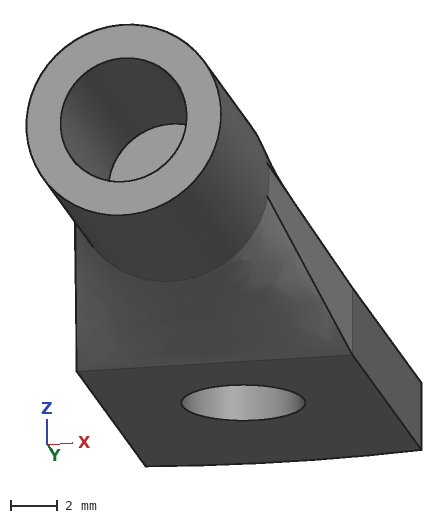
import cadquery as cq
import math

length = 33.93
height = 9.5

palm_width = 12.0
palm_thickness = 3.0
palm_length = 15.0
tip_sag = 0.55
hole_diameter = 5.3
hole_from_tip = 8.95

barrel_diameter = 8.48
bore_diameter = 5.5
barrel_length = 9.98
barrel_z = height - barrel_diameter / 2

side_angle = 10.0
neck_steps = 6
edge_steps = 12

palm_start = length - palm_length


def make_palm():
    half_width = palm_width / 2
    corner_y = length - tip_sag
    outline = (
        cq.Workplane("XY")
        .moveTo(-half_width, palm_start)
        .lineTo(half_width, palm_start)
        .lineTo(half_width, corner_y)
        .threePointArc((0, length), (-half_width, corner_y))
        .close()
    )
    hole = (
        cq.Workplane("XY")
        .center(0, length - hole_from_tip)
        .circle(hole_diameter / 2)
        .extrude(palm_thickness)
    )
    return outline.extrude(palm_thickness).cut(hole)


def barrel_point(angle):
    """Point on the inner end of the barrel, at an angle in degrees from +X towards +Z."""
    radians = math.radians(angle)
    radius = barrel_diameter / 2
    return cq.Vector(
        radius * math.cos(radians),
        barrel_length,
        barrel_z + radius * math.sin(radians),
    )


def neck_edge(t, palm_ends, arc_angles, scoop):
    """One side of the neck section at t, from the palm (t = 0) to the barrel (t = 1).

    Straight lines join the palm side to the barrel arc. The scoop lowers the middle
    of the side, so that it leaves the palm level and still meets the barrel.
    """
    palm_first, palm_last = palm_ends
    angle_first, angle_last = arc_angles
    if t == 0:
        return cq.Edge.makeLine(palm_first, palm_last)
    if t == 1:
        middle = barrel_point((angle_first + angle_last) / 2)
        return cq.Edge.makeThreePointArc(barrel_point(angle_first), middle, barrel_point(angle_last))
    points = []
    for i in range(edge_steps + 1):
        s = i / edge_steps
        on_palm = palm_first + (palm_last - palm_first) * s
        on_barrel = barrel_point(angle_first + (angle_last - angle_first) * s)
        drop = scoop * t * (1 - t) ** 2 * math.sin(math.pi * s)
        points.append(on_palm + (on_barrel - on_palm) * t - cq.Vector(0, 0, drop))
    return cq.Edge.makeSpline(points)


def neck_section(t):
    half_width = palm_width / 2
    bottom_right = cq.Vector(half_width, palm_start, 0)
    top_right = cq.Vector(half_width, palm_start, palm_thickness)
    top_left = cq.Vector(-half_width, palm_start, palm_thickness)
    bottom_left = cq.Vector(-half_width, palm_start, 0)
    top_scoop = height - palm_thickness
    return cq.Wire.assembleEdges(
        [
            neck_edge(t, (bottom_right, top_right), (-side_angle, side_angle), 0),
            neck_edge(t, (top_right, top_left), (side_angle, 180 - side_angle), top_scoop),
            neck_edge(t, (top_left, bottom_left), (180 - side_angle, 180 + side_angle), 0),
            neck_edge(t, (bottom_left, bottom_right), (180 + side_angle, 360 - side_angle), 0),
        ]
    )


def make_neck():
    """Blend the rectangular palm into the round barrel, with a scooped top."""
    sections = [neck_section(i / neck_steps) for i in range(neck_steps + 1)]
    return cq.Workplane(obj=cq.Solid.makeLoft(sections))


def make_barrel():
    return (
        cq.Workplane("XZ")
        .center(0, barrel_z)
        .circle(barrel_diameter / 2)
        .extrude(-barrel_length)
    )


def make_bore():
    return (
        cq.Workplane("XZ")
        .center(0, barrel_z)
        .circle(bore_diameter / 2)
        .extrude(-barrel_length)
    )


result = make_palm().union(make_neck()).union(make_barrel()).cut(make_bore())